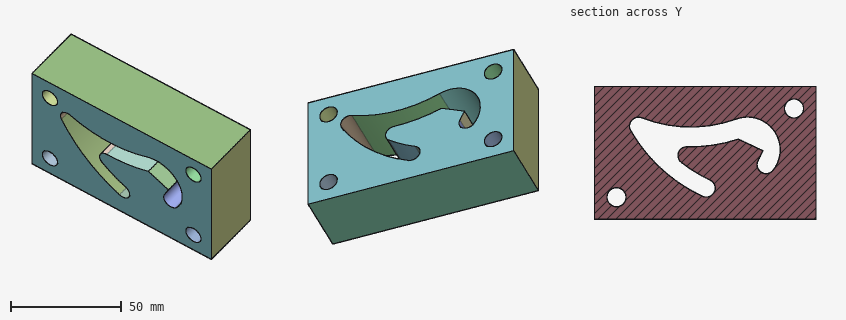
import math

import cadquery as cq

LENGTH = 100.0
THICKNESS = 30.0
HEIGHT = 60.0

HOLE_DIAMETER = 8.5
HOLE_INSET = 10.0
BLIND_DEPTH = THICKNESS / 2

TRACK_RADIUS = 4.0
TIP = (-30.1, 12.05)
LOWER_END = (0.45, -15.9)
LOWER_PATH_RADIUS = 68.0
UPPER_WALL_RADIUS = 60.0
UPPER_WIDTH = 8.8
BEND_CENTRE = (19.0, 1.35)
BEND_RADIUS = 14.75
HOOK_ANGLE = math.radians(-38.5)
ISLAND_PEAK_X = 14.9
ISLAND_CORNER = (26.05, 1.0)


def polar(centre, radius, angle):
    """Point at a given radius and angle from a centre."""
    return (centre[0] + radius * math.cos(angle), centre[1] + radius * math.sin(angle))


def bearing(start, end):
    """Angle of the direction from one point to another."""
    return math.atan2(end[1] - start[1], end[0] - start[0])


def towards(start, end, distance):
    """Point at a distance from start, in the direction of end."""
    return polar(start, distance, bearing(start, end))


def circle_crossing(first, first_radius, second, second_radius):
    """Crossing of two circles that lies left of the line from first to second."""
    gap = math.dist(first, second)
    cosine = (first_radius**2 + gap**2 - second_radius**2) / (2 * first_radius * gap)
    return polar(first, first_radius, bearing(first, second) + math.acos(cosine))


def arc_middle(centre, start, end, turn):
    """Middle of the arc from start to end; turn is 1 anticlockwise, -1 clockwise."""
    first = bearing(centre, start)
    sweep = (turn * (bearing(centre, end) - first)) % (2 * math.pi)
    return polar(centre, math.dist(centre, start), first + turn * sweep / 2)


def track_outline():
    """Closed outline of the track, drawn clockwise from the tip around the island."""
    lower_centre = circle_crossing(TIP, LOWER_PATH_RADIUS, LOWER_END, LOWER_PATH_RADIUS)
    upper_centre = circle_crossing(
        TIP,
        UPPER_WALL_RADIUS + TRACK_RADIUS,
        BEND_CENTRE,
        UPPER_WALL_RADIUS + BEND_RADIUS,
    )

    hook_centre = polar(BEND_CENTRE, BEND_RADIUS - TRACK_RADIUS, HOOK_ANGLE)
    tangent_offset = math.acos(TRACK_RADIUS / math.dist(hook_centre, ISLAND_CORNER))
    hook_tangent = polar(hook_centre, TRACK_RADIUS, bearing(hook_centre, ISLAND_CORNER) + tangent_offset)

    island_top_radius = UPPER_WALL_RADIUS + UPPER_WIDTH
    nose_centre = circle_crossing(
        lower_centre,
        LOWER_PATH_RADIUS - 2 * TRACK_RADIUS,
        upper_centre,
        island_top_radius + TRACK_RADIUS,
    )

    tip_top = towards(TIP, upper_centre, TRACK_RADIUS)
    bend_start = towards(BEND_CENTRE, upper_centre, BEND_RADIUS)
    bend_end = polar(BEND_CENTRE, BEND_RADIUS, HOOK_ANGLE)
    peak_drop = math.sqrt(island_top_radius**2 - (ISLAND_PEAK_X - upper_centre[0]) ** 2)
    peak = (ISLAND_PEAK_X, upper_centre[1] - peak_drop)
    nose_top = towards(nose_centre, upper_centre, TRACK_RADIUS)
    nose_bottom = towards(nose_centre, lower_centre, -TRACK_RADIUS)
    end_top = towards(LOWER_END, lower_centre, TRACK_RADIUS)
    end_bottom = towards(LOWER_END, lower_centre, -TRACK_RADIUS)
    tip_bottom = towards(TIP, lower_centre, -TRACK_RADIUS)

    return (
        cq.Workplane("XZ")
        .moveTo(*tip_top)
        .threePointArc(arc_middle(upper_centre, tip_top, bend_start, 1), bend_start)
        .threePointArc(arc_middle(BEND_CENTRE, bend_start, bend_end, -1), bend_end)
        .threePointArc(arc_middle(hook_centre, bend_end, hook_tangent, -1), hook_tangent)
        .lineTo(*ISLAND_CORNER)
        .lineTo(*peak)
        .threePointArc(arc_middle(upper_centre, peak, nose_top, -1), nose_top)
        .threePointArc(arc_middle(nose_centre, nose_top, nose_bottom, 1), nose_bottom)
        .threePointArc(arc_middle(lower_centre, nose_bottom, end_top, 1), end_top)
        .threePointArc(arc_middle(LOWER_END, end_top, end_bottom, -1), end_bottom)
        .threePointArc(arc_middle(lower_centre, end_bottom, tip_bottom, -1), tip_bottom)
        .threePointArc(arc_middle(TIP, tip_bottom, tip_top, -1), tip_top)
        .close()
    )


def front_holes(points, depth):
    """Round cutters that run from the front face to a given depth."""
    front_plane = cq.Workplane("XZ", origin=(0, -THICKNESS / 2, 0))
    return front_plane.pushPoints(points).circle(HOLE_DIAMETER / 2).extrude(-depth)


hole_x = LENGTH / 2 - HOLE_INSET
hole_z = HEIGHT / 2 - HOLE_INSET

block = cq.Workplane("XY").box(LENGTH, THICKNESS, HEIGHT)
track = track_outline().extrude(THICKNESS / 2, both=True)
through_holes = front_holes([(hole_x, hole_z), (-hole_x, -hole_z)], THICKNESS)
blind_holes = front_holes([(-hole_x, hole_z), (hole_x, -hole_z)], BLIND_DEPTH)

result = block.cut(track).cut(through_holes).cut(blind_holes)